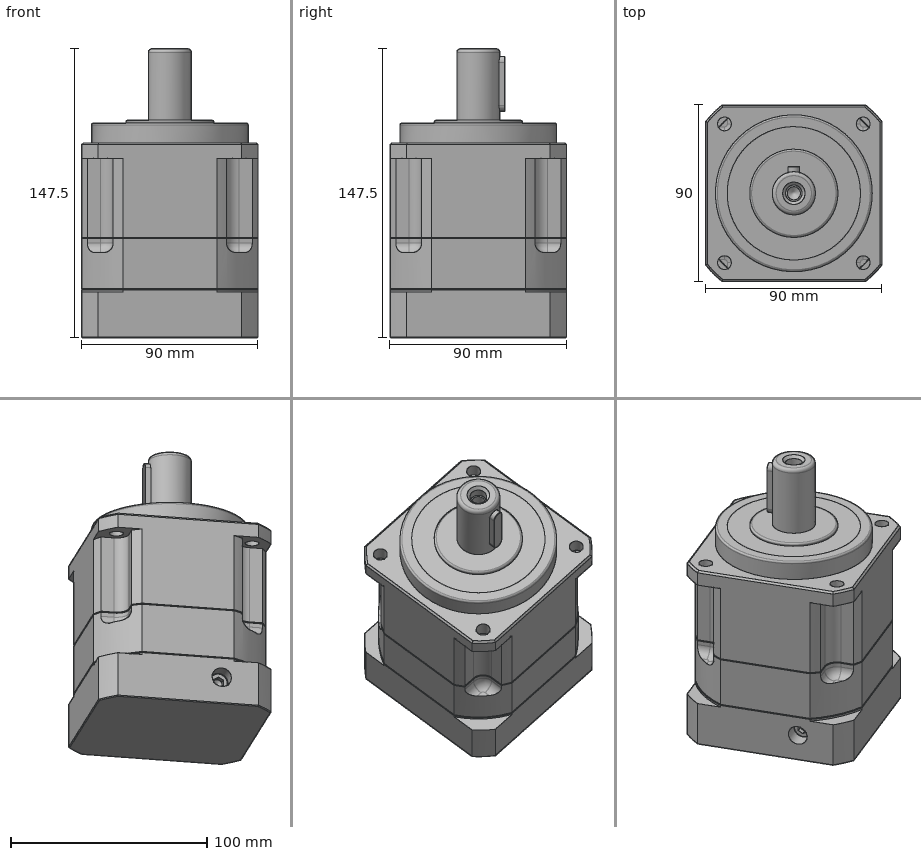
import cadquery as cq
import math


SQUARE = 90.0
FLANGE_CORNER_DIA = 116.0
CASE_CORNER_DIA = 102.0
JOINT_CHAMFER = 0.3
OVERSHOOT = 5.0

ADAPTER_SHOULDER = 23.5
ADAPTER_TOP = 24.8
CASE_TOP = 51.0
POCKET_FLOOR = 43.5
FLANGE_BOTTOM = 91.5
FLANGE_TOP = 99.5
PILOT_HEIGHT = 10.0
PILOT_TOP = FLANGE_TOP + PILOT_HEIGHT
SEAL_HEIGHT = 1.5
SEAL_TOP = PILOT_TOP + SEAL_HEIGHT
SHAFT_TOP = 147.5

ADAPTER_BOTTOM_CHAMFER = 0.5

SCREW_Y = -17.5
SCREW_Z = 14.25
SCREW_HEAD_DIA = 10.0
SCREW_HEAD_LENGTH = 6.0
SCREW_HEAD_CHAMFER = 0.5
SCREW_DEPTH = 8.0
SOCKET_ACROSS_FLATS = 5.0
SOCKET_DEPTH = 3.0

BOLT_CIRCLE_DIA = 100.0
BOLT_HOLE_DIA = 7.0
POCKET_CORNER_RADIUS = 6.5
POCKET_FLOOR_RADIUS = 5.0
BOLT_OFFSET = BOLT_CIRCLE_DIA / 2 / math.sqrt(2)
POCKET_WALL = BOLT_OFFSET - POCKET_CORNER_RADIUS
QUARTER_TURNS = (0, 90, 180, 270)

FLANGE_CHAMFER = 1.0
PILOT_DIA = 80.0
PILOT_FILLET = 1.0
COVER_DIA = 68.0
SEAL_DIA = 45.0
SEAL_FILLET = 1.0

SHAFT_DIA = 22.0
SHAFT_FILLET = 2.0
CENTRE_MOUTH_DIA = 11.4
CENTRE_BORE_DIA = 8.4
CENTRE_BORE_DEPTH = 6.0
CENTRE_CONE_ANGLE = 90.0
TAP_DRILL_DIA = 6.7
TAP_DRILL_DEPTH = 19.0
DRILL_TIP_ANGLE = 118.0

KEY_WIDTH = 6.0
KEY_HEIGHT = 6.0
KEY_LENGTH = 28.0
KEY_OUTER_Y = 13.6
KEY_CENTRE_Z = 129.5
KEY_CHAMFER = 0.2


def round_cornered_square(bottom, top, corner_dia):
    """Square block whose four corners are trimmed by a circle."""
    height = top - bottom
    square = cq.Workplane("XY", origin=(0, 0, bottom)).rect(SQUARE, SQUARE).extrude(height)
    circle = cq.Workplane("XY", origin=(0, 0, bottom)).circle(corner_dia / 2).extrude(height)
    return square.intersect(circle)


def disc(bottom, top, diameter):
    return cq.Workplane("XY", origin=(0, 0, bottom)).circle(diameter / 2).extrude(top - bottom)


def corner_pockets():
    """Four rounded pockets, open to the outside, from the pocket floor to the flange."""
    size = SQUARE / 2 + OVERSHOOT - POCKET_WALL
    pocket = (
        cq.Workplane("XY", origin=(POCKET_WALL, POCKET_WALL, POCKET_FLOOR))
        .rect(size, size, centered=False)
        .extrude(FLANGE_BOTTOM - POCKET_FLOOR)
    )
    inner_corner = cq.selectors.NearestToPointSelector(
        (POCKET_WALL, POCKET_WALL, (POCKET_FLOOR + FLANGE_BOTTOM) / 2)
    )
    pocket = pocket.edges("|Z").edges(inner_corner).fillet(POCKET_CORNER_RADIUS)
    pocket = pocket.faces("<X").edges("<Z").fillet(POCKET_FLOOR_RADIUS)
    pockets = cq.Workplane("XY")
    for angle in QUARTER_TURNS:
        pockets = pockets.add(pocket.rotate((0, 0, 0), (0, 0, 1), angle))
    return pockets.combine()


def screw_bore_cylinder(depth, length):
    """Cylinder of the screw head diameter that starts at a depth below the -X side."""
    start = (-SQUARE / 2 + depth, SCREW_Y, SCREW_Z)
    return cq.Workplane("YZ", origin=start).circle(SCREW_HEAD_DIA / 2).extrude(length)


def make_adapter():
    adapter = round_cornered_square(0, ADAPTER_SHOULDER, FLANGE_CORNER_DIA)
    adapter = adapter.faces("<Z").chamfer(ADAPTER_BOTTOM_CHAMFER)
    step = round_cornered_square(ADAPTER_SHOULDER, ADAPTER_TOP, CASE_CORNER_DIA)
    step = step.faces(">Z").chamfer(JOINT_CHAMFER)
    bore = screw_bore_cylinder(0, SCREW_DEPTH + SCREW_HEAD_LENGTH)
    return adapter.union(step).cut(bore)


def make_clamp_screw():
    screw = screw_bore_cylinder(SCREW_DEPTH, SCREW_HEAD_LENGTH)
    screw = screw.faces("<X").chamfer(SCREW_HEAD_CHAMFER)
    across_corners = SOCKET_ACROSS_FLATS / math.cos(math.pi / 6)
    tip_length = SOCKET_ACROSS_FLATS / 2 / math.tan(math.radians(DRILL_TIP_ANGLE / 2))
    head_face = (-SQUARE / 2 + SCREW_DEPTH, SCREW_Y, SCREW_Z)
    socket = (
        cq.Workplane("YZ", origin=head_face)
        .transformed(rotate=(0, 0, 90))
        .polygon(6, across_corners)
        .extrude(SOCKET_DEPTH)
    )
    tip = cq.Workplane(
        cq.Solid.makeCone(
            SOCKET_ACROSS_FLATS / 2,
            0,
            tip_length,
            pnt=cq.Vector(head_face) + cq.Vector(SOCKET_DEPTH, 0, 0),
            dir=cq.Vector(1, 0, 0),
        )
    )
    return screw.cut(socket).cut(tip)


def make_gear_case(pockets):
    case = round_cornered_square(ADAPTER_TOP, CASE_TOP, CASE_CORNER_DIA).cut(pockets)
    return case.faces("<Z or >Z").chamfer(JOINT_CHAMFER)


def make_housing(pockets):
    body = round_cornered_square(CASE_TOP, FLANGE_BOTTOM, CASE_CORNER_DIA).cut(pockets)
    body = body.faces("<Z").chamfer(JOINT_CHAMFER)
    flange = round_cornered_square(FLANGE_BOTTOM, FLANGE_TOP, FLANGE_CORNER_DIA)
    flange = flange.faces(">Z").chamfer(FLANGE_CHAMFER)
    bolt_holes = (
        cq.Workplane("XY", origin=(0, 0, FLANGE_BOTTOM))
        .rect(2 * BOLT_OFFSET, 2 * BOLT_OFFSET, forConstruction=True)
        .vertices()
        .circle(BOLT_HOLE_DIA / 2)
        .extrude(FLANGE_TOP - FLANGE_BOTTOM)
    )
    pilot = disc(FLANGE_TOP, PILOT_TOP, PILOT_DIA).faces(">Z").edges().fillet(PILOT_FILLET)
    recess = disc(FLANGE_TOP, PILOT_TOP, COVER_DIA)
    return body.union(flange.cut(bolt_holes)).union(pilot.cut(recess))


def make_cover():
    """Disc that fills the recess of the pilot around the shaft."""
    cover = disc(FLANGE_TOP, PILOT_TOP, COVER_DIA)
    return cover.cut(disc(FLANGE_TOP, PILOT_TOP, SHAFT_DIA))


def make_seal():
    seal = disc(PILOT_TOP, SEAL_TOP, SEAL_DIA).faces(">Z").edges().fillet(SEAL_FILLET)
    return seal.cut(disc(PILOT_TOP, SEAL_TOP, SHAFT_DIA))


def centre_hole():
    """Stepped hole in the shaft end: conical mouth, short bore and tapping drill with its tip."""
    mouth = CENTRE_MOUTH_DIA / 2
    bore = CENTRE_BORE_DIA / 2
    drill = TAP_DRILL_DIA / 2
    mouth_depth = (mouth - bore) / math.tan(math.radians(CENTRE_CONE_ANGLE / 2))
    tip_length = drill / math.tan(math.radians(DRILL_TIP_ANGLE / 2))
    outline = [
        (0, SHAFT_TOP),
        (mouth, SHAFT_TOP),
        (bore, SHAFT_TOP - mouth_depth),
        (bore, SHAFT_TOP - CENTRE_BORE_DEPTH),
        (drill, SHAFT_TOP - CENTRE_BORE_DEPTH),
        (drill, SHAFT_TOP - TAP_DRILL_DEPTH),
        (0, SHAFT_TOP - TAP_DRILL_DEPTH - tip_length),
    ]
    return cq.Workplane("XZ").polyline(outline).close().revolve(360, (0, 0, 0), (0, 1, 0))


def make_key():
    key = (
        cq.Workplane("XZ", origin=(0, KEY_OUTER_Y, KEY_CENTRE_Z))
        .slot2D(KEY_LENGTH, KEY_WIDTH, 90)
        .extrude(KEY_HEIGHT)
    )
    return key.faces(">Y").chamfer(KEY_CHAMFER)


def make_shaft(key):
    shaft = disc(FLANGE_TOP, SHAFT_TOP, SHAFT_DIA).faces(">Z").edges().fillet(SHAFT_FILLET)
    return shaft.cut(centre_hole()).cut(key)


pockets = corner_pockets()
adapter = make_adapter()
clamp_screw = make_clamp_screw()
gear_case = make_gear_case(pockets)
housing = make_housing(pockets)
cover = make_cover()
seal = make_seal()
key = make_key()
shaft = make_shaft(key)

result = cq.Compound.makeCompound(
    [
        adapter.val(),
        clamp_screw.val(),
        gear_case.val(),
        housing.val(),
        cover.val(),
        seal.val(),
        key.val(),
        shaft.val(),
    ]
)